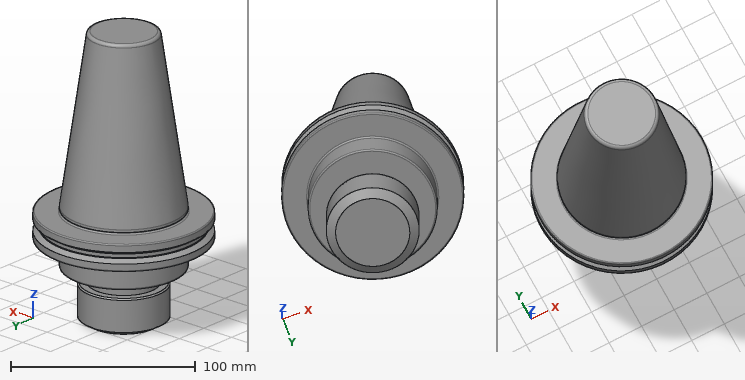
import cadquery as cq
import math

total_height = 168.6

nut_radius = 25.1
nut_height = 22.6
nut_nose_width = 5.0
nut_nose_height = 3.0
nut_top_chamfer = 0.8

neck_radius = 20.0
collar_bottom = 31.7
collar_radius = 34.9
collar_edge_fillet = 0.8

flange_radius = 98.5 / 2
flange_bottom = 48.0
flange_thickness = 15.8
flange_edge_fillet = 0.7
groove_radius = 91.2 / 2
groove_floor_width = 2.7
groove_mouth_width = 6.7
groove_corner_fillet = 0.5

taper_slope = 7 / 24 / 2
gauge_height = 2.9
taper_tip_fillet = 2.0

relief_depth = 0.3
relief_height = 1.3
relief_chamfer = 0.3

root_fillet = 0.8
neck_fillet = 0.5

flange_top = flange_bottom + flange_thickness
flange_middle = flange_bottom + flange_thickness / 2
relief_radius = collar_radius - relief_depth
gauge_plane = flange_top + gauge_height
taper_tip_radius = collar_radius - (total_height - gauge_plane) * taper_slope


def cylinder(radius, bottom, top):
    """Solid cylinder on the Z axis between two heights."""
    return cq.Workplane("XY").workplane(offset=bottom).circle(radius).extrude(top - bottom)


def revolve_profile(points):
    """Turn a closed (radius, height) outline about the Z axis."""
    return cq.Workplane("XZ").polyline(points).close().revolve(360, (0, 0), (0, 1))


def make_nut():
    nut = cylinder(nut_radius, 0, nut_height)
    nut = nut.faces(">Z").chamfer(nut_top_chamfer)
    return nut.faces("<Z").edges().chamfer(nut_nose_height, nut_nose_width)


def make_collar():
    collar = cylinder(collar_radius, collar_bottom, flange_bottom)
    return collar.faces("<Z").edges().fillet(collar_edge_fillet)


def make_flange():
    flange = cylinder(flange_radius, flange_bottom, flange_top)
    groove = revolve_profile([
        (groove_radius, flange_middle - groove_floor_width / 2),
        (flange_radius, flange_middle - groove_mouth_width / 2),
        (flange_radius, flange_middle + groove_mouth_width / 2),
        (groove_radius, flange_middle + groove_floor_width / 2),
    ])
    floor_edges = cq.selectors.RadiusNthSelector(0)
    flange = flange.cut(groove).edges(floor_edges).fillet(groove_corner_fillet)
    return flange.faces("<Z or >Z").edges().fillet(flange_edge_fillet)


def make_taper():
    taper = revolve_profile([
        (0, flange_top),
        (relief_radius, flange_top),
        (relief_radius, flange_top + relief_height - relief_chamfer),
        (collar_radius, flange_top + relief_height),
        (collar_radius, gauge_plane),
        (taper_tip_radius, total_height),
        (0, total_height),
    ])
    return taper.faces(">Z").edges().fillet(taper_tip_fillet)


def make_root_fillet(radius, face_height, size, direction):
    """Concave ring around a cylinder; direction is +1 above the face, -1 below it."""
    arc_offset = size * (1 - math.sqrt(0.5))
    edge_height = face_height + direction * size
    profile = (
        cq.Workplane("XZ")
        .moveTo(radius - size, face_height)
        .lineTo(radius + size, face_height)
        .threePointArc(
            (radius + arc_offset, face_height + direction * arc_offset),
            (radius, edge_height),
        )
        .lineTo(radius - size, edge_height)
        .close()
    )
    return profile.revolve(360, (0, 0), (0, 1))


result = (
    make_flange()
    .union(make_collar())
    .union(make_taper())
    .union(cylinder(neck_radius, nut_height, collar_bottom))
    .union(make_nut())
    .union(make_root_fillet(collar_radius, flange_bottom, root_fillet, -1))
    .union(make_root_fillet(relief_radius, flange_top, root_fillet, 1))
    .union(make_root_fillet(neck_radius, collar_bottom, neck_fillet, -1))
)